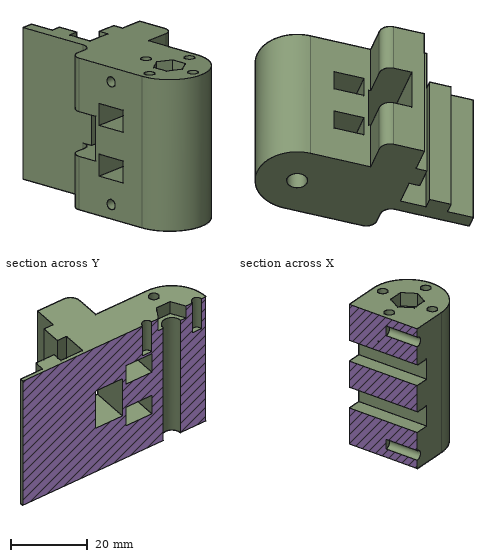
import cadquery as cq
import math

LENGTH = 59
WIDTH = 32.0
HEIGHT = 42.0
BARREL_RADIUS = 11.0
BARREL_X = LENGTH - BARREL_RADIUS
BARREL_Y = BARREL_RADIUS
CORNER_RADIUS = 3.0

PLATE_BOTTOM = 8.5
PLATE_TOP = 12.0
BODY_LEFT = 23.5
HEAD_LEFT = 20.0
HEAD_RIGHT = 31.45

RIB_WIDTH = 5.9
RIB_PROJECTION = 2.95
PLATE_RIB_LEFT = 7.1
HEAD_RIB_BOTTOM = 19.1

BORE_DIAMETER = 5.4
HEX_FLATS = 7.6
HEX_DEPTH = 4.0
PIN_DIAMETER = 2.8
PIN_CIRCLE_RADIUS = 8.0
PIN_COUNT = 4
PIN_DEPTH = 10.05

CENTER_WINDOW_RIGHT = 32.05
CENTER_WINDOW_HEIGHT = 12.4
SLOT_X = 37.4
SLOT_LENGTH = 8.2
SLOT_HEIGHT = 6.1
SLOT_SPACING = 14.05
FRONT_HOLE_SPACING = 34.0
FRONT_HOLE_DEPTH = 10.05


def box(x_min, x_max, y_min, y_max, z_min, z_max):
    """Axis-aligned block given by its limits."""
    size = (x_max - x_min, y_max - y_min, z_max - z_min)
    return cq.Workplane("XY").box(*size, centered=False).translate((x_min, y_min, z_min))


def make_body():
    """Full-height profile with the plate, the head and the rounded barrel end."""
    profile = (
        cq.Workplane("XY")
        .moveTo(0, PLATE_BOTTOM)
        .lineTo(BODY_LEFT, PLATE_BOTTOM)
        .lineTo(BODY_LEFT, 0)
        .lineTo(BARREL_X, 0)
        .threePointArc((LENGTH, BARREL_Y), (BARREL_X, 2 * BARREL_RADIUS))
        .lineTo(HEAD_RIGHT, 2 * BARREL_RADIUS)
        .lineTo(HEAD_RIGHT, WIDTH)
        .lineTo(HEAD_LEFT, WIDTH)
        .lineTo(HEAD_LEFT, PLATE_TOP)
        .lineTo(0, PLATE_TOP)
        .close()
    )
    body = profile.extrude(HEIGHT)
    rounded_corners = ((BODY_LEFT, PLATE_BOTTOM), (BODY_LEFT, 0), (HEAD_RIGHT, WIDTH))
    for x, y in rounded_corners:
        edge = cq.selectors.NearestToPointSelector((x, y, HEIGHT / 2))
        body = body.edges("|Z").edges(edge).fillet(CORNER_RADIUS)
    return body


def add_ribs(body):
    """Ribs on the plate's upper face and on the head's left face."""
    plate_rib = box(
        PLATE_RIB_LEFT, PLATE_RIB_LEFT + RIB_WIDTH, PLATE_TOP, PLATE_TOP + RIB_PROJECTION, 0, HEIGHT
    )
    head_rib = box(
        HEAD_LEFT - RIB_PROJECTION, HEAD_LEFT, HEAD_RIB_BOTTOM, HEAD_RIB_BOTTOM + RIB_WIDTH, 0, HEIGHT
    )
    return body.union(plate_rib).union(head_rib)


def cut_windows(body):
    """Central window, which also clears the plate fillet, and two slots."""
    z_min = (HEIGHT - CENTER_WINDOW_HEIGHT) / 2
    z_max = z_min + CENTER_WINDOW_HEIGHT
    body = body.cut(box(BODY_LEFT, CENTER_WINDOW_RIGHT, 0, WIDTH, z_min, z_max))
    body = body.cut(box(BODY_LEFT - CORNER_RADIUS, BODY_LEFT, 0, PLATE_BOTTOM, z_min, z_max))
    for side in (-1, 1):
        slot = cq.Workplane("XY").box(SLOT_LENGTH, 2 * WIDTH, SLOT_HEIGHT)
        body = body.cut(slot.translate((SLOT_X, 0, HEIGHT / 2 + side * SLOT_SPACING / 2)))
    return body


def cut_barrel_holes(body):
    """Through bore, nut pocket and ring of blind holes in the top face."""
    axis = cq.Workplane("XY").center(BARREL_X, BARREL_Y)
    body = body.cut(axis.circle(BORE_DIAMETER / 2).extrude(HEIGHT))
    hex_corners = HEX_FLATS / math.cos(math.pi / 6)
    top_axis = cq.Workplane("XY", origin=(BARREL_X, BARREL_Y, HEIGHT))
    body = body.cut(top_axis.polygon(6, hex_corners).extrude(-HEX_DEPTH))
    pins = top_axis.polarArray(PIN_CIRCLE_RADIUS, 0, 360, PIN_COUNT).circle(PIN_DIAMETER / 2)
    return body.cut(pins.extrude(-PIN_DEPTH))


def cut_front_holes(body):
    """Two blind holes entering the lowest Y face, above and below the slots."""
    for side in (-1, 1):
        z = HEIGHT / 2 + side * FRONT_HOLE_SPACING / 2
        hole = cq.Workplane("XZ", origin=(SLOT_X, 0, z)).circle(PIN_DIAMETER / 2)
        body = body.cut(hole.extrude(-FRONT_HOLE_DEPTH))
    return body


result = make_body()
result = add_ribs(result)
result = cut_windows(result)
result = cut_barrel_holes(result)
result = cut_front_holes(result)